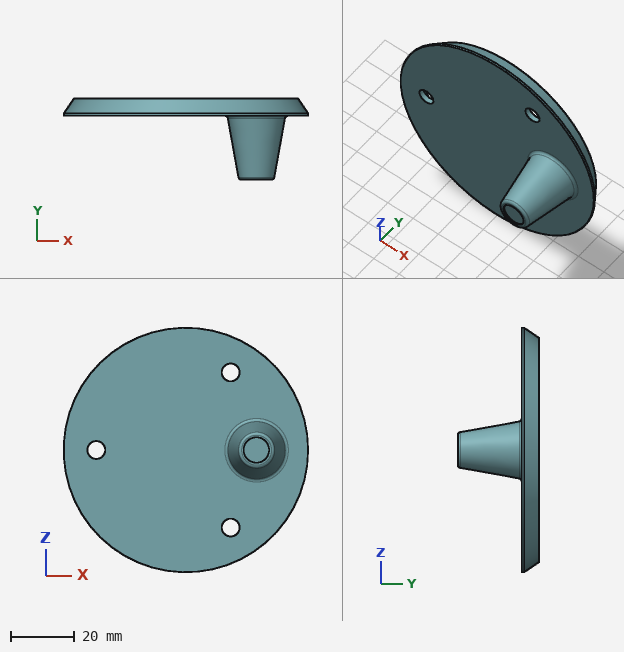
import cadquery as cq
import math

disc_radius = 38.25
disc_thickness = 5.5
rim_width = 0.8
back_radius = 35.0

wall_thickness = 2.0

hole_diameter = 5.5
hole_circle_radius = 28.0
hole_count = 3
first_hole_angle = 60.0

total_depth = 25.5
knob_offset = 22.0
knob_height = total_depth - disc_thickness
knob_base_radius = 9.1
knob_tip_radius = 5.5
base_fillet = 1.0
tip_fillet = 1.0
tip_recess_radius = 4.0
tip_recess_depth = 0.45


def make_disc():
    """Revolve the disc profile about the Y axis, flat face at Y = 0."""
    profile = (
        cq.Workplane("XY")
        .moveTo(0, 0)
        .lineTo(disc_radius, 0)
        .lineTo(disc_radius, rim_width)
        .lineTo(back_radius, disc_thickness)
        .lineTo(0, disc_thickness)
        .close()
    )
    return profile.revolve(360, (0, 0, 0), (0, 1, 0))


def make_cavity():
    """Hollow behind the face, its side wall parallel to the outer bevel."""
    bevel_run = disc_radius - back_radius
    bevel_rise = disc_thickness - rim_width
    radial_wall = wall_thickness * math.hypot(bevel_run, bevel_rise) / bevel_rise
    mouth_radius = back_radius - radial_wall
    cavity_depth = disc_thickness - wall_thickness
    floor_radius = mouth_radius + cavity_depth * bevel_run / bevel_rise
    profile = (
        cq.Workplane("XY")
        .moveTo(0, wall_thickness)
        .lineTo(floor_radius, wall_thickness)
        .lineTo(mouth_radius, disc_thickness)
        .lineTo(0, disc_thickness)
        .close()
    )
    return profile.revolve(360, (0, 0, 0), (0, 1, 0))


def make_knob():
    """Revolve the tapered knob about its own axis, parallel to Y."""
    embed_depth = wall_thickness / 2
    profile = (
        cq.Workplane("XY", origin=(knob_offset, 0, 0))
        .moveTo(0, embed_depth)
        .lineTo(knob_base_radius, embed_depth)
        .lineTo(knob_base_radius, 0)
        .lineTo(knob_tip_radius, -knob_height)
        .lineTo(0, -knob_height)
        .close()
    )
    knob = profile.revolve(360, (0, 0, 0), (0, 1, 0))
    return knob.faces("<Y").edges().fillet(tip_fillet)


def make_tip_recess():
    """Shallow round recess in the end of the knob."""
    return (
        cq.Workplane("XZ", origin=(knob_offset, -knob_height, 0))
        .circle(tip_recess_radius)
        .extrude(-tip_recess_depth)
    )


def make_holes():
    """Cylinders that pass through the face of the disc."""
    return (
        cq.Workplane("XZ")
        .polarArray(hole_circle_radius, first_hole_angle, 360, hole_count)
        .circle(hole_diameter / 2)
        .extrude(-wall_thickness)
    )


def knob_root_region():
    """Box around the joint between the knob and the flat face."""
    half_width = knob_base_radius + base_fillet
    return cq.selectors.BoxSelector(
        (knob_offset - half_width, -base_fillet, -half_width),
        (knob_offset + half_width, base_fillet, half_width),
        boundingbox=True,
    )


body = make_disc().union(make_knob())
body = body.edges(knob_root_region()).edges("%CIRCLE").fillet(base_fillet)
result = body.cut(make_cavity()).cut(make_tip_recess()).cut(make_holes())